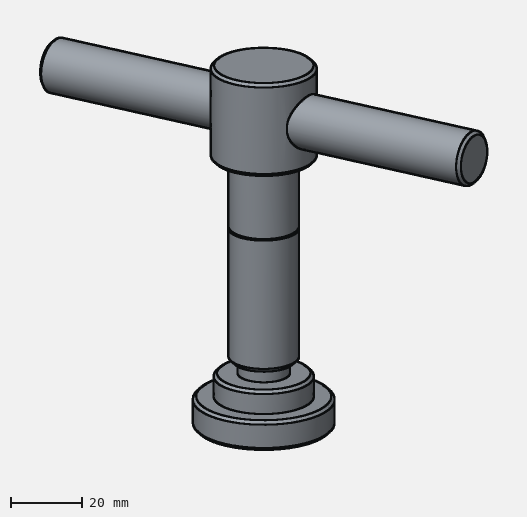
import cadquery as cq

BAR_LENGTH = 140.0
BAR_DIAMETER = 16.0
BAR_CHAMFER = 1.0

TOTAL_HEIGHT = 108.6
HEAD_DIAMETER = 30.0
HEAD_HEIGHT = 28.0
HEAD_CHAMFER = 1.0

SHANK_DIAMETER = 20.0
SHANK_BOTTOM = 19.6
SHANK_CHAMFER = 1.4
THREAD_TOP = 60.0
GROOVE_WIDTH = 0.4
GROOVE_DEPTH = 0.1

NECK_DIAMETER = 14.8

PAD_DIAMETER = 40.0
PAD_HEIGHT = 9.0
PAD_CHAMFER = 1.0
COLLAR_DIAMETER = 28.3
COLLAR_TOP = 16.0
COLLAR_CHAMFER = 1.0


def cylinder(diameter, bottom, top):
    """Upright cylinder on the spindle axis."""
    return cq.Workplane("XY").workplane(offset=bottom).circle(diameter / 2).extrude(top - bottom)


head_bottom = TOTAL_HEIGHT - HEAD_HEIGHT
bar_level = TOTAL_HEIGHT - HEAD_HEIGHT / 2

pad = cylinder(PAD_DIAMETER, 0, PAD_HEIGHT).edges().chamfer(PAD_CHAMFER)
collar = cylinder(COLLAR_DIAMETER, 0, COLLAR_TOP).edges(">Z").chamfer(COLLAR_CHAMFER)

neck = cylinder(NECK_DIAMETER, 0, bar_level)
shank = cylinder(SHANK_DIAMETER, SHANK_BOTTOM, bar_level).edges("<Z").chamfer(SHANK_CHAMFER)

groove_floor = SHANK_DIAMETER - 2 * GROOVE_DEPTH
groove = cylinder(SHANK_DIAMETER, THREAD_TOP - GROOVE_WIDTH, THREAD_TOP).cut(
    cylinder(groove_floor, THREAD_TOP - GROOVE_WIDTH, THREAD_TOP)
)
shank = shank.cut(groove)

head = cylinder(HEAD_DIAMETER, head_bottom, TOTAL_HEIGHT).edges().chamfer(HEAD_CHAMFER)
bar = (
    cq.Workplane("YZ", origin=(-BAR_LENGTH / 2, 0, bar_level))
    .circle(BAR_DIAMETER / 2)
    .extrude(BAR_LENGTH)
    .edges("%CIRCLE")
    .chamfer(BAR_CHAMFER)
)

result = pad.union(collar).union(neck).union(shank).union(head).union(bar)